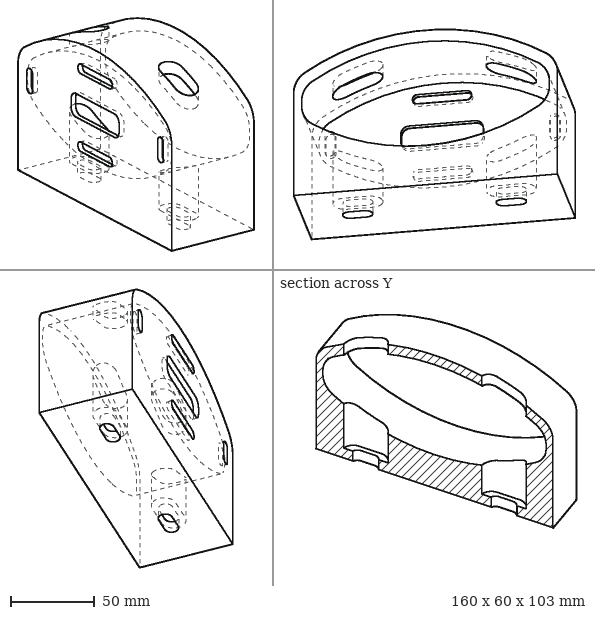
import cadquery as cq
import math

length = 160.0
depth = 60.0
height = 103.0
shoulder_height = 81.0
shoulder_inset = 6.4
side_height = 68.0
corner_bulge_inset = 1.8
corner_bulge_height = 75.5

opening_shift = 0.3

face_wall = 3.4
side_wall = 5.0
roof_wall = 7.7
floor_height = 26.2
cavity_corner = 15.0

mount_x = 46.5
mount_y = -2.0
mount_length = 30.0
mount_width = 15.0
bolt_length = 18.0
bolt_width = 8.6
bolt_seat_height = 8.0

window_length = 50.0
window_height = 15.0
window_corner = 5.0
window_z = 61.1
strap_length = 35.8
strap_width = 6.0
strap_offset = 25.0
side_slot_x = 68.0
side_slot_length = 16.0


def make_body():
    half = length / 2
    shoulder_x = half - shoulder_inset
    bulge_x = half - corner_bulge_inset
    return (
        cq.Workplane("XZ", origin=(0, depth / 2, 0))
        .moveTo(-half, 0)
        .lineTo(half, 0)
        .lineTo(half, side_height)
        .threePointArc((bulge_x, corner_bulge_height), (shoulder_x, shoulder_height))
        .threePointArc((0, height), (-shoulder_x, shoulder_height))
        .threePointArc((-bulge_x, corner_bulge_height), (-half, side_height))
        .close()
        .extrude(depth)
    )


def make_cavity():
    """Lens-shaped space with rounded ends, open at the back."""
    half = length / 2 - side_wall
    rise = height - shoulder_height
    half_chord = length / 2 - shoulder_inset
    crown_radius = (half_chord**2 + rise**2) / (2 * rise)
    inner_radius = crown_radius - roof_wall
    end_rise = inner_radius - math.sqrt(inner_radius**2 - half**2)
    roof_z = height - roof_wall
    return (
        cq.Workplane("XZ", origin=(0, depth / 2, 0))
        .moveTo(-half, floor_height + end_rise)
        .threePointArc((0, floor_height), (half, floor_height + end_rise))
        .lineTo(half, roof_z - end_rise)
        .threePointArc((0, roof_z), (-half, roof_z - end_rise))
        .close()
        .extrude(depth - face_wall)
        .edges("|Y")
        .fillet(cavity_corner)
    )


def face_slot(x, z, slot_length, slot_width, angle=0):
    """Slot running through the front wall."""
    return (
        cq.Workplane("XZ", origin=(0, depth / 2, 0))
        .center(x + opening_shift, z)
        .slot2D(slot_length, slot_width, angle)
        .extrude(depth)
    )


def vertical_slot(x, start_z, slot_length, slot_width):
    return (
        cq.Workplane("XY", origin=(x + opening_shift, mount_y, start_z))
        .slot2D(slot_length, slot_width)
        .extrude(height)
    )


result = make_body().cut(make_cavity())

window = (
    cq.Workplane("XY")
    .box(window_length, depth, window_height)
    .edges("|Y")
    .fillet(window_corner)
    .translate((opening_shift, 0, window_z))
)
result = result.cut(window)

for side in (-1, 1):
    result = result.cut(face_slot(0, window_z + side * strap_offset, strap_length, strap_width))
    result = result.cut(face_slot(side * side_slot_x, window_z, side_slot_length, strap_width, 90))
    result = result.cut(vertical_slot(side * mount_x, bolt_seat_height, mount_length, mount_width))
    result = result.cut(vertical_slot(side * mount_x, 0, bolt_length, bolt_width))